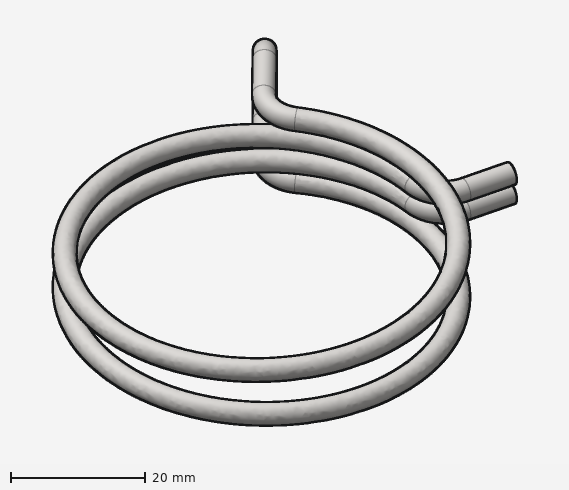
import cadquery as cq
import math

RING_OUTER_DIAMETER = 62.25
RING_INNER_DIAMETER = 55.1
TOTAL_HEIGHT = 15.3
TOTAL_DEPTH = 75.55

LOOP_ARM_ANGLE = 120.0
FREE_ARM_ANGLE = 60.0
FREE_ARM_REACH = 42.7
BEND_RADIUS = 6.0
FREE_ARM_GAP = 0.04

wire_diameter = (RING_OUTER_DIAMETER - RING_INNER_DIAMETER) / 2
wire_radius = wire_diameter / 2
ring_radius = RING_OUTER_DIAMETER / 2 - wire_radius

loop_arm_z = TOTAL_HEIGHT / 2 - wire_radius
free_arm_z = (wire_diameter + FREE_ARM_GAP) / 2

loop_radius = loop_arm_z
rear_limit = TOTAL_DEPTH - RING_OUTER_DIAMETER / 2
loop_tip_reach = (rear_limit - wire_radius) / math.sin(math.radians(LOOP_ARM_ANGLE))
loop_center_reach = loop_tip_reach - loop_radius

bend_center_reach = ring_radius + BEND_RADIUS
bend_angle = math.degrees(math.asin(BEND_RADIUS / bend_center_reach))
bend_end_reach = bend_center_reach * math.cos(math.radians(bend_angle))

coil_start_angle = FREE_ARM_ANGLE + bend_angle
coil_end_angle = LOOP_ARM_ANGLE - bend_angle + 360


def polar(reach, angle, z):
    """Point at a distance and an angle in degrees round the ring axis."""
    turn = math.radians(angle)
    return cq.Vector(reach * math.cos(turn), reach * math.sin(turn), z)


def counterclockwise(angle):
    """Horizontal direction of counterclockwise travel round the ring axis."""
    return polar(1, angle + 90, 0)


def sweep_wire(path, start, direction):
    """Solid round wire along a path, from a section square to the given direction."""
    section = cq.Workplane(cq.Plane(start, normal=direction)).circle(wire_radius)
    return section.sweep(path, isFrenet=True)


def make_loop_quarter():
    """Upper half of the end loop, from its tip to the loop arm."""
    diagonal = loop_radius * math.sqrt(0.5)
    tip = polar(loop_tip_reach, LOOP_ARM_ANGLE, 0)
    arc = cq.Edge.makeThreePointArc(
        tip,
        polar(loop_center_reach + diagonal, LOOP_ARM_ANGLE, diagonal),
        polar(loop_center_reach, LOOP_ARM_ANGLE, loop_arm_z),
    )
    return sweep_wire(arc, tip, cq.Vector(0, 0, 1))


def make_arm(angle, outer_reach, z):
    """Straight radial arm, from the end of its bend outward."""
    start = polar(bend_end_reach, angle, z)
    line = cq.Edge.makeLine(start, polar(outer_reach, angle, z))
    return sweep_wire(line, start, polar(1, angle, 0))


def make_bend(arm_angle, ring_angle, z):
    """Flat bend from a radial arm into the ring."""
    start = polar(bend_end_reach, arm_angle, z)
    inward = polar(-1, arm_angle, 0)
    arc = cq.Edge.makeTangentArc(start, inward, polar(ring_radius, ring_angle, z))
    return sweep_wire(arc, start, inward)


def make_coil():
    """Helix rising from the free arm to the loop arm, with ends square to the flat bends."""
    sweep_angle = coil_end_angle - coil_start_angle
    rise = loop_arm_z - free_arm_z
    helix = cq.Wire.makeHelix(rise * 360 / sweep_angle, rise, ring_radius)
    path = helix.rotate(cq.Vector(0, 0, 0), cq.Vector(0, 0, 1), coil_start_angle)
    path = path.translate(cq.Vector(0, 0, free_arm_z))
    start = polar(ring_radius, coil_start_angle, free_arm_z)
    return sweep_wire(path, start, counterclockwise(coil_start_angle))


def make_half_clamp():
    half = make_coil()
    half = half.union(make_bend(FREE_ARM_ANGLE, coil_start_angle, free_arm_z))
    half = half.union(make_arm(FREE_ARM_ANGLE, FREE_ARM_REACH, free_arm_z))
    half = half.union(make_bend(LOOP_ARM_ANGLE, coil_end_angle, loop_arm_z))
    half = half.union(make_arm(LOOP_ARM_ANGLE, loop_center_reach, loop_arm_z))
    return half.union(make_loop_quarter())


upper_half = make_half_clamp()
lower_half = upper_half.mirror("XY")
result = upper_half.union(lower_half)